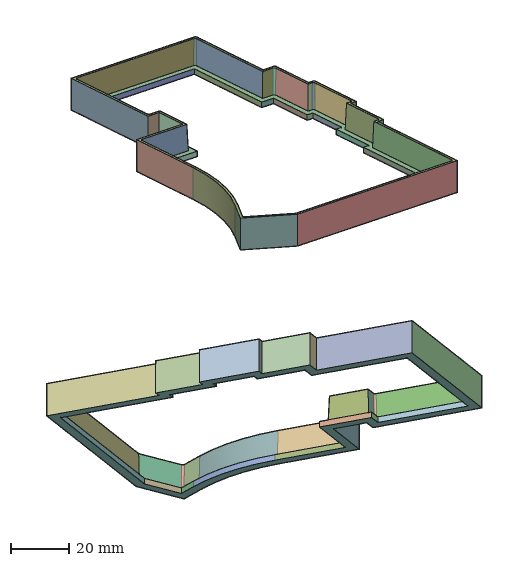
import cadquery as cq
import math

LENGTH = 137.5
DEPTH = 93.1
HEIGHT = 12.0

WALL_RIM = 1.03
WALL_FOOT = 1.4
LEDGE_REACH = 3.6
LEDGE_HEIGHT = 2.0
CORNER_RADIUS = 0.7

LEFT_BACK_Y = 85.4
SHOULDER_Y = 90.6
RIGHT_BACK_Y = 88.1
SHOULDER_LEFT_X = 36.3
CENTRE_LEFT_X = 54.5
CENTRE_RIGHT_X = 77.1
SHOULDER_RIGHT_X = 94.9

LEFT_FRONT_Y = 30.1
NOTCH_LEFT_X = 41.4
NOTCH_Y = 35.0
NOTCH_RIGHT_X = 54.0
FRONT_Y = 14.6
SWEEP_START_X = 84.4
SWEEP_RADIUS = 67.1
SWEEP_ANGLE = math.radians(30)
TIP_X = 127.6


def sweep_point(angle):
    """Point on the front sweep, turned by angle from its start."""
    return (
        SWEEP_START_X + SWEEP_RADIUS * math.sin(angle),
        FRONT_Y - SWEEP_RADIUS * (1 - math.cos(angle)),
    )


def outline(inset=0):
    """Outer outline of the frame, moved inward by inset with sharp corners."""
    right_front_y = (LENGTH - TIP_X) / math.tan(SWEEP_ANGLE)
    shape = (
        cq.Workplane("XY")
        .moveTo(0, LEFT_FRONT_Y)
        .lineTo(NOTCH_LEFT_X, LEFT_FRONT_Y)
        .lineTo(NOTCH_LEFT_X, NOTCH_Y)
        .lineTo(NOTCH_RIGHT_X, NOTCH_Y)
        .lineTo(NOTCH_RIGHT_X, FRONT_Y)
        .lineTo(SWEEP_START_X, FRONT_Y)
        .threePointArc(sweep_point(SWEEP_ANGLE / 2), sweep_point(SWEEP_ANGLE))
        .lineTo(TIP_X, 0)
        .lineTo(LENGTH, right_front_y)
        .lineTo(LENGTH, RIGHT_BACK_Y)
        .lineTo(SHOULDER_RIGHT_X, RIGHT_BACK_Y)
        .lineTo(SHOULDER_RIGHT_X, SHOULDER_Y)
        .lineTo(CENTRE_RIGHT_X, SHOULDER_Y)
        .lineTo(CENTRE_RIGHT_X, DEPTH)
        .lineTo(CENTRE_LEFT_X, DEPTH)
        .lineTo(CENTRE_LEFT_X, SHOULDER_Y)
        .lineTo(SHOULDER_LEFT_X, SHOULDER_Y)
        .lineTo(SHOULDER_LEFT_X, LEFT_BACK_Y)
        .lineTo(0, LEFT_BACK_Y)
        .close()
    )
    if inset:
        shape = shape.offset2D(-inset, "intersection")
    return shape


def inside_corners(inset):
    """Corners of the inset outline that point away from the opening."""
    tip_shift = inset * (math.cos(SWEEP_ANGLE) - math.sin(SWEEP_ANGLE))
    tip_rise = inset * (math.cos(SWEEP_ANGLE) + math.sin(SWEEP_ANGLE))
    return [
        (inset, LEFT_FRONT_Y + inset),
        (NOTCH_LEFT_X - inset, LEFT_FRONT_Y + inset),
        (NOTCH_RIGHT_X + inset, FRONT_Y + inset),
        (TIP_X - tip_shift, tip_rise),
        (LENGTH - inset, RIGHT_BACK_Y - inset),
        (SHOULDER_RIGHT_X - inset, SHOULDER_Y - inset),
        (CENTRE_RIGHT_X - inset, DEPTH - inset),
        (CENTRE_LEFT_X + inset, DEPTH - inset),
        (SHOULDER_LEFT_X + inset, SHOULDER_Y - inset),
        (inset, LEFT_BACK_Y - inset),
    ]


def cavity():
    """Space above the ledge, widening upward, with rounded inside corners."""
    cavity_height = HEIGHT - LEDGE_HEIGHT
    foot = outline(WALL_FOOT).val()
    rim = outline(WALL_RIM).val().translate(cq.Vector(0, 0, cavity_height))
    body = cq.Workplane("XY").add(cq.Solid.makeLoft([foot, rim], True))
    for x, y in inside_corners((WALL_FOOT + WALL_RIM) / 2):
        corner = cq.selectors.NearestToPointSelector((x, y, cavity_height / 2))
        body = body.edges(corner).fillet(CORNER_RADIUS)
    return body.translate((0, 0, LEDGE_HEIGHT))


opening = outline(LEDGE_REACH).extrude(HEIGHT)
result = outline().extrude(HEIGHT).cut(cavity()).cut(opening)